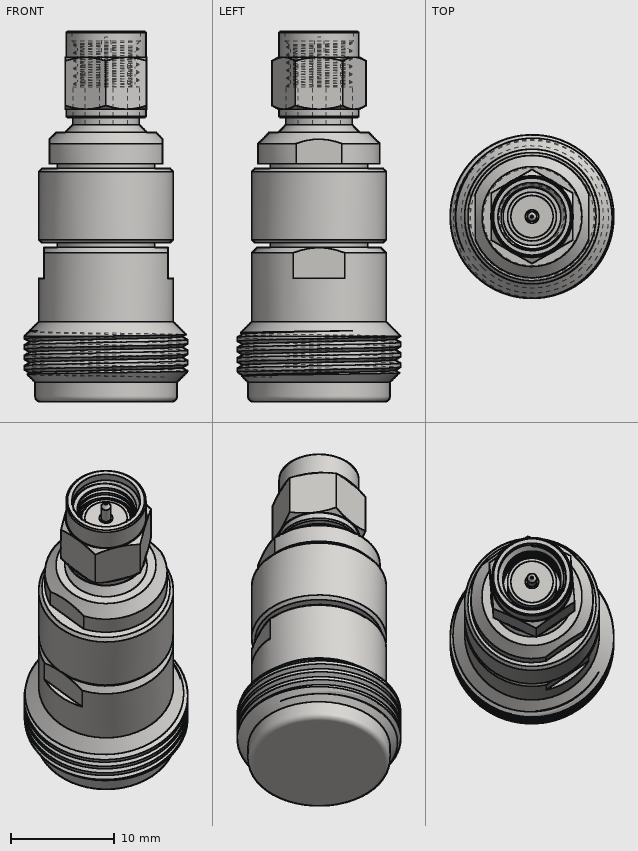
import cadquery as cq
import math


jack_lip_top = 1.9
thread_cone_top = 7.75
flat_bottom = 11.97
barrel_top = 15.0
sleeve_bottom = 15.42
sleeve_top = 22.65
flange_bottom = 23.07
flange_top = 26.13
neck_bottom = 26.9
shoulder_height = 30.55
contact_plane = 33.28

jack_lip_radius = 6.9
jack_lip_fillet = 0.55
jack_thread_radius = 7.95
barrel_radius = 6.55
barrel_chamfer = 0.55
barrel_flat_offset = 6.05
sleeve_chamfer = 0.32
groove_radius = 4.75
flange_radius = 5.93
flange_chamfer = 1.08
flange_flat_offset = 5.5
neck_radius = 3.25
boss_radius = 2.37

jack_thread_pitch = 1.0
jack_thread_depth = 0.55
jack_thread_start = 1.3
jack_thread_turns = 6

nut_bottom = 27.55
nut_top = 35.95
nut_radius = 3.88
nut_edge_chamfer = 0.15
hex_bottom = 28.4
hex_top = 33.42
hex_across_flats = 7.9
hex_chamfer_angle = 30
hex_sides = 6
hex_half_sector = 180 / hex_sides
nut_mouth_radius = 3.3
nut_mouth_depth = 0.9
nut_minor_radius = 2.8

nut_thread_pitch = 0.75
nut_thread_depth = 0.4
nut_thread_start = 29.72
nut_thread_turns = 8

insulator_radius = 2.05
pin_shank_radius = 0.65
pin_radius = 0.45
pin_tip = 35.4
pin_tip_chamfer = 0.35

thread_half_angle = 30
groove_overrun = 0.18


def revolve_profile(points):
    """Solid of revolution about Z from (radius, height) points."""
    return cq.Workplane("XZ").polyline(points).close().revolve(360, (0, 0), (0, 1))


def cylinder(radius, bottom, top):
    return cq.Workplane("XY").workplane(offset=bottom).circle(radius).extrude(top - bottom)


def thread_groove(apex_radius, open_radius, pitch, start, turns):
    """Helical V-shaped cutter, sharp at apex_radius and widest at open_radius."""
    half_width = abs(open_radius - apex_radius) * math.tan(math.radians(thread_half_angle))
    path = cq.Wire.makeHelix(pitch, pitch * turns, apex_radius).translate(cq.Vector(0, 0, start))
    section = (
        cq.Workplane("XZ")
        .moveTo(apex_radius, start)
        .lineTo(open_radius, start + half_width)
        .lineTo(open_radius, start - half_width)
        .close()
    )
    return section.sweep(cq.Workplane(path), isFrenet=True)


def cut_side_flats(solid, offset, bottom, top):
    """Mill two parallel flats at x = +/-offset between two heights."""
    cutter_size = 2 * jack_thread_radius
    for side in (-1, 1):
        cutter = cq.Workplane("XY").box(cutter_size, cutter_size, top - bottom).translate(
            (side * (offset + cutter_size / 2), 0, (bottom + top) / 2)
        )
        solid = solid.cut(cutter)
    return solid


def threaded_blank():
    """Cylinder as tall as the barrel with the jack thread cut around it."""
    return cylinder(jack_thread_radius, 0, barrel_top).cut(thread_groove(
        jack_thread_radius - jack_thread_depth,
        jack_thread_radius + groove_overrun,
        jack_thread_pitch,
        jack_thread_start,
        jack_thread_turns,
    ))


def jack_end():
    """Lip, threaded collar with 45-degree cones on both sides, and barrel."""
    lower_cone_top = jack_lip_top + jack_thread_radius - jack_lip_radius
    upper_cone_bottom = thread_cone_top - (jack_thread_radius - barrel_radius)
    envelope = revolve_profile([
        (0, 0),
        (jack_lip_radius, 0),
        (jack_lip_radius, jack_lip_top),
        (jack_thread_radius, lower_cone_top),
        (jack_thread_radius, upper_cone_bottom),
        (barrel_radius, thread_cone_top),
        (barrel_radius, barrel_top - barrel_chamfer),
        (barrel_radius - barrel_chamfer, barrel_top),
        (0, barrel_top),
    ])
    envelope = envelope.faces("<Z").edges().fillet(jack_lip_fillet)
    solid = threaded_blank().intersect(envelope)
    return cut_side_flats(solid, barrel_flat_offset, flat_bottom, barrel_top)


def sleeve():
    """Chamfered ring between the two grooves."""
    solid = cylinder(barrel_radius, sleeve_bottom, sleeve_top)
    return solid.faces("<Z or >Z").edges().chamfer(sleeve_chamfer)


def flange():
    """Chamfered wrench flange with two flats."""
    solid = cylinder(flange_radius, flange_bottom, flange_top)
    solid = solid.faces(">Z").edges().chamfer(flange_chamfer)
    return cut_side_flats(solid, flange_flat_offset, flange_bottom, flange_top)


def plug_neck():
    """Cone, neck carrying the nut, and the boss that ends at the contact plane."""
    return revolve_profile([
        (0, flange_top),
        (neck_radius + neck_bottom - flange_top, flange_top),
        (neck_radius, neck_bottom),
        (neck_radius, shoulder_height),
        (boss_radius, shoulder_height),
        (boss_radius, contact_plane),
        (0, contact_plane),
    ])


def make_body():
    solid = jack_end()
    solid = solid.union(cylinder(groove_radius, barrel_top, sleeve_bottom))
    solid = solid.union(sleeve())
    solid = solid.union(cylinder(groove_radius, sleeve_top, flange_bottom))
    solid = solid.union(flange())
    solid = solid.union(plug_neck())
    return solid.cut(cylinder(insulator_radius, neck_bottom, contact_plane))


def nut_hexagon():
    """Hexagon with flats facing +/-X and both ends chamfered to its inscribed circle."""
    flat_radius = hex_across_flats / 2
    corner_radius = flat_radius / math.cos(math.radians(hex_half_sector))
    chamfer_height = (corner_radius - flat_radius) * math.tan(math.radians(hex_chamfer_angle))
    prism = (
        cq.Workplane("XY")
        .workplane(offset=hex_bottom)
        .polygon(hex_sides, 2 * corner_radius)
        .extrude(hex_top - hex_bottom)
        .rotate((0, 0, 0), (0, 0, 1), hex_half_sector)
    )
    return prism.intersect(revolve_profile([
        (0, hex_bottom),
        (flat_radius, hex_bottom),
        (corner_radius, hex_bottom + chamfer_height),
        (corner_radius, hex_top - chamfer_height),
        (flat_radius, hex_top),
        (0, hex_top),
    ]))


def nut_thread():
    """Helical groove cut outward from the minor bore."""
    return thread_groove(
        nut_minor_radius + nut_thread_depth,
        nut_minor_radius - groove_overrun,
        nut_thread_pitch,
        nut_thread_start,
        nut_thread_turns,
    )


def nut_mouth():
    """Wide mouth with a 45-degree lead-in down to the minor bore."""
    mouth_bottom = nut_top - nut_mouth_depth
    lead_in_bottom = mouth_bottom - (nut_mouth_radius - nut_minor_radius)
    return revolve_profile([
        (0, lead_in_bottom),
        (nut_minor_radius, lead_in_bottom),
        (nut_mouth_radius, mouth_bottom),
        (nut_mouth_radius, nut_top),
        (0, nut_top),
    ])


def make_nut():
    solid = cylinder(nut_radius, nut_bottom, nut_top)
    solid = solid.faces("<Z or >Z").edges().chamfer(nut_edge_chamfer)
    solid = solid.union(nut_hexagon())
    solid = solid.cut(cylinder(nut_minor_radius, nut_bottom, nut_top))
    solid = solid.cut(nut_thread())
    solid = solid.cut(cylinder(neck_radius, nut_bottom, shoulder_height))
    return solid.cut(nut_mouth())


def make_insulator():
    tube = cylinder(insulator_radius, neck_bottom, contact_plane)
    return tube.cut(cylinder(pin_shank_radius, neck_bottom, contact_plane))


def make_pin():
    """Shank flush with the insulator, then a thinner pin with a tapered tip."""
    tip = cylinder(pin_radius, contact_plane, pin_tip).faces(">Z").edges().chamfer(pin_tip_chamfer)
    return cylinder(pin_shank_radius, neck_bottom, contact_plane).union(tip)


body = make_body()
coupling_nut = make_nut()
insulator = make_insulator()
center_pin = make_pin()

result = cq.Compound.makeCompound([
    body.val(),
    coupling_nut.val(),
    insulator.val(),
    center_pin.val(),
])